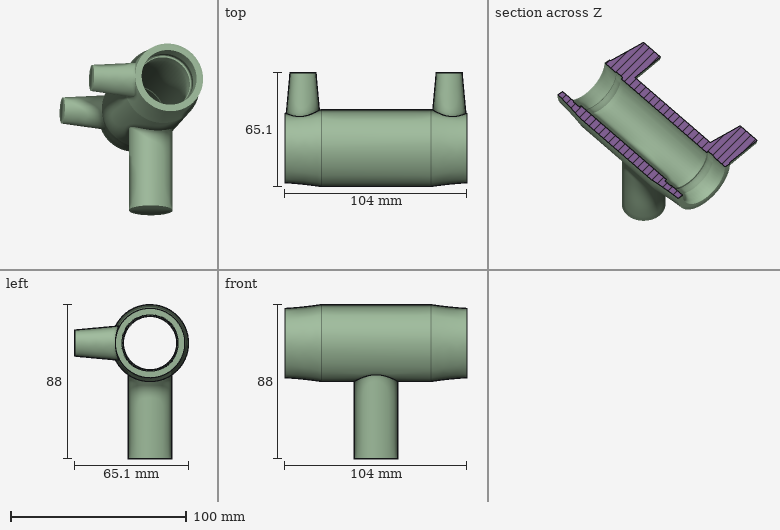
import cadquery as cq

length = 104.0
body_diameter = 44.0
end_length = 20.8
rim_diameter = 39.6
flare_sag = 0.26

bore_diameter = 30.4
socket_diameter = 32.0
socket_depth = 15.0
groove_diameter = 33.0
groove_width = 5.0

leg_diameter = 25.0
leg_bottom = -66.0

pin_end_offset = 10.3
pin_root_diameter = 20.0
pin_tip_diameter = 15.0
pin_root_y = 16.0
pin_tip_y = 43.1

half_length = length / 2
body_radius = body_diameter / 2


def make_sleeve():
    shoulder_x = half_length - end_length
    rim_radius = rim_diameter / 2
    middle_x = half_length - end_length / 2
    middle_radius = (rim_radius + body_radius) / 2 - flare_sag
    return (
        cq.Workplane("XY")
        .moveTo(-half_length, 0)
        .lineTo(-half_length, rim_radius)
        .threePointArc((-middle_x, middle_radius), (-shoulder_x, body_radius))
        .lineTo(shoulder_x, body_radius)
        .threePointArc((middle_x, middle_radius), (half_length, rim_radius))
        .lineTo(half_length, 0)
        .close()
        .revolve(360, (0, 0, 0), (1, 0, 0))
    )


def make_leg():
    return cq.Workplane("XY").workplane(offset=leg_bottom).circle(leg_diameter / 2).extrude(-leg_bottom)


def make_pin(x):
    cone = cq.Solid.makeCone(
        pin_root_diameter / 2,
        pin_tip_diameter / 2,
        pin_tip_y - pin_root_y,
        cq.Vector(x, pin_root_y, 0),
        cq.Vector(0, 1, 0),
    )
    return cq.Workplane(obj=cone)


def make_bore_section(diameter, start_x, depth):
    return cq.Workplane("YZ").workplane(offset=start_x).circle(diameter / 2).extrude(depth)


def make_bore():
    """Through bore with a grooved socket at each end."""
    groove_inset = socket_depth - groove_width
    inner_x = half_length - socket_depth
    bore = make_bore_section(bore_diameter, -half_length, length)
    for socket_x, groove_x in ((-half_length, -half_length + groove_inset), (inner_x, inner_x)):
        bore = bore.union(make_bore_section(socket_diameter, socket_x, socket_depth))
        bore = bore.union(make_bore_section(groove_diameter, groove_x, groove_width))
    return bore


result = make_sleeve().union(make_leg())
pin_x = half_length - pin_end_offset
for x in (-pin_x, pin_x):
    result = result.union(make_pin(x))
result = result.cut(make_bore())